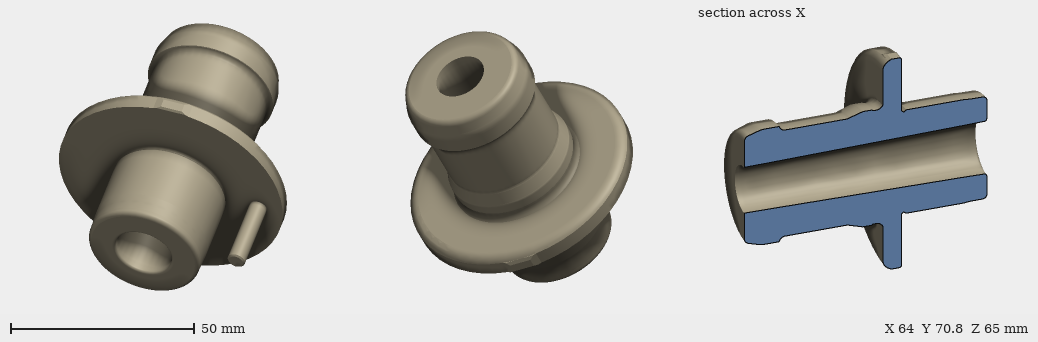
import cadquery as cq

total_length = 70.8

flange_radius = 32.0
flange_front = 24.85
flange_rim_back = 28.8
flange_back = 30.45
flange_back_radius = 29.1

nose_radius = 16.1
nose_tip_radius = 15.85
nose_face_radius = 14.8
relief_radius = 15.6
relief_outer_radius = 16.4

tail_radius = 16.5
barb_radius = 17.9
neck_radius = 17.6
neck_base_radius = 18.7
tail_end_radius = 15.15

bore_front_radius = 8.1
bore_rear_radius = 7.0
bore_mouth_radius = 8.9
bore_mouth_depth = bore_mouth_radius - bore_front_radius

pin_offset = 25.0
pin_radius = 2.5
pin_front = 4.8
pin_chamfer = 0.4

tab_radius = 32.5
tab_root_radius = 31.5
tab_tip_half_width = 3.0
tab_root_half_width = 5.25
tab_tip_front = 25.35
tab_tip_back = 27.9


def revolve_about_y(profile):
    return profile.close().revolve(360, (0, 0, 0), (0, 1, 0))


def make_body():
    """Nose, flange and barbed hose tail as one turned profile of (radius, Y)."""
    profile = (
        cq.Workplane("XY")
        .moveTo(0, 0)
        .lineTo(nose_face_radius, 0)
        .threePointArc((15.5, 0.4), (nose_tip_radius, 1.3))
        .lineTo(nose_tip_radius, 2.3)
        .lineTo(nose_radius, 7.15)
        .lineTo(nose_radius, 23.6)
        .lineTo(relief_radius, 24.2)
        .threePointArc((15.8, 24.65), (relief_outer_radius, flange_front))
        .lineTo(flange_radius, flange_front)
        .lineTo(flange_radius, flange_rim_back)
        .threePointArc((31.0, 29.9), (flange_back_radius, flange_back))
        .lineTo(neck_base_radius, flange_back)
        .threePointArc((17.9, 31.2), (neck_radius, 32.3))
        .lineTo(neck_radius, 33.35)
        .lineTo(barb_radius, 33.4)
        .lineTo(barb_radius, 36.0)
        .threePointArc((17.87, 36.3), (17.8, 36.6))
        .lineTo(16.7, 40.1)
        .threePointArc((16.6, 40.4), (tail_radius, 40.8))
        .lineTo(tail_radius, 58.8)
        .threePointArc((16.85, 59.9), (17.7, 60.45))
        .lineTo(barb_radius, 60.6)
        .lineTo(barb_radius, 64.8)
        .threePointArc((17.85, 65.85), (17.55, 66.8))
        .lineTo(16.8, 69.4)
        .threePointArc((16.15, 70.4), (tail_end_radius, total_length))
        .lineTo(0, total_length)
    )
    return revolve_about_y(profile)


def make_bore():
    """Tapered through bore with a rounded mouth at the nose."""
    profile = (
        cq.Workplane("XY")
        .lineTo(bore_mouth_radius, 0)
        .radiusArc((bore_front_radius, bore_mouth_depth), bore_mouth_depth)
        .lineTo(bore_rear_radius, total_length)
        .lineTo(0, total_length)
    )
    return revolve_about_y(profile)


def make_pin():
    """Pin parallel to the axis, reaching from the middle of the flange to the front."""
    pin_root = (flange_front + flange_rim_back) / 2
    return (
        cq.Workplane("XZ", origin=(pin_offset, pin_root, 0))
        .circle(pin_radius)
        .extrude(pin_root - pin_front)
        .faces("<Y")
        .chamfer(pin_chamfer)
    )


def make_tab():
    """Rim tab at +Z: a block sloping inward on all four sides."""
    across = (
        cq.Workplane("XZ", origin=(0, flange_rim_back, 0))
        .polyline([
            (-tab_root_half_width, tab_root_radius),
            (-tab_tip_half_width, tab_radius),
            (tab_tip_half_width, tab_radius),
            (tab_root_half_width, tab_root_radius),
        ])
        .close()
        .extrude(flange_rim_back - flange_front)
    )
    along = (
        cq.Workplane("YZ")
        .polyline([
            (flange_front, tab_root_radius),
            (flange_front, flange_radius),
            (tab_tip_front, tab_radius),
            (tab_tip_back, tab_radius),
            (flange_rim_back, flange_radius),
            (flange_rim_back, tab_root_radius),
        ])
        .close()
        .extrude(tab_root_half_width, both=True)
    )
    return across.intersect(along)


tab = make_tab()
result = make_body().union(make_pin()).union(tab).union(tab.mirror("XY")).cut(make_bore())